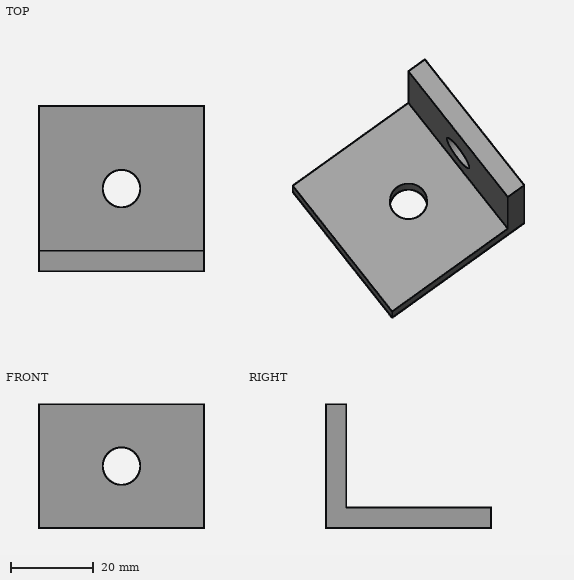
import cadquery as cq

width = 40.0
depth = 40.0
height = 30.0
thickness = 5.0
hole_diameter = 9.0

base = cq.Workplane("XY").box(width, depth, thickness, centered=(True, False, False))
wall = cq.Workplane("XY").box(width, thickness, height, centered=(True, False, False))

base_hole = cq.Workplane("XY").center(0, depth / 2).circle(hole_diameter / 2).extrude(thickness)

wall_hole = cq.Workplane("XZ").center(0, height / 2).circle(hole_diameter / 2).extrude(-thickness)

result = base.union(wall).cut(base_hole).cut(wall_hole)